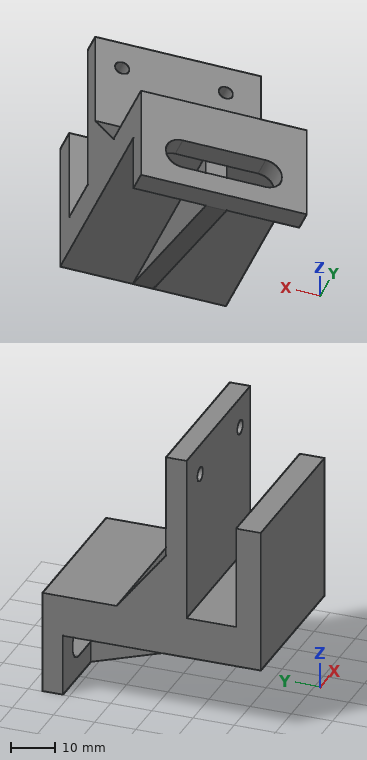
import cadquery as cq

width = 40.0
depth = 53.0
height = 65.0

plate_bottom = 15.0
plate_top = 25.0
leg_thickness = 5.0

front_wall_thickness = 6.0
front_wall_top = 50.0
channel_width = 12.0
tall_wall_thickness = 5.0

brace_depth = 12.0
brace_height = 15.0

gusset_thickness = 5.0

screw_hole_diameter = 3.4
screw_hole_spacing = 25.0
screw_hole_drop = 7.4
screw_hole_shift = 1.0

slot_length = 28.0
slot_height = 8.0
slot_center_z = 9.2

channel_front = front_wall_thickness
tall_wall_front = channel_front + channel_width
tall_wall_back = tall_wall_front + tall_wall_thickness
brace_back = tall_wall_back + brace_depth
leg_front = depth - leg_thickness


def extrude_side_profile(points, thickness):
    """Extrude a closed (Y, Z) outline along X, centred on X = 0."""
    return cq.Workplane("YZ").polyline(points).close().extrude(thickness / 2, both=True)


def make_body():
    """Plate, front wall, braced tall wall and rear leg as one profile."""
    outline = [
        (0, plate_bottom),
        (0, front_wall_top),
        (channel_front, front_wall_top),
        (channel_front, plate_top),
        (tall_wall_front, plate_top),
        (tall_wall_front, height),
        (tall_wall_back, height),
        (tall_wall_back, plate_top + brace_height),
        (brace_back, plate_top),
        (depth, plate_top),
        (depth, 0),
        (leg_front, 0),
        (leg_front, plate_bottom),
    ]
    return extrude_side_profile(outline, width)


def make_gusset():
    """Central rib from the front edge of the plate to the foot of the leg."""
    outline = [(0, plate_bottom), (leg_front, plate_bottom), (leg_front, 0)]
    return extrude_side_profile(outline, gusset_thickness)


def make_screw_holes():
    """Cutters for the pair of holes through the tall wall."""
    hole_z = height - screw_hole_drop
    left_x = screw_hole_shift - screw_hole_spacing / 2
    right_x = left_x + screw_hole_spacing
    return (
        cq.Workplane("XZ", origin=(0, tall_wall_front, 0))
        .pushPoints([(left_x, hole_z), (right_x, hole_z)])
        .circle(screw_hole_diameter / 2)
        .extrude(-tall_wall_thickness)
    )


def make_leg_slot():
    """Cutter for the round-ended slot, as deep as the leg is thick."""
    return (
        cq.Workplane("XZ", origin=(0, leg_front, 0))
        .center(0, slot_center_z)
        .slot2D(slot_length, slot_height)
        .extrude(-leg_thickness)
    )


result = make_body().union(make_gusset()).cut(make_screw_holes()).cut(make_leg_slot())